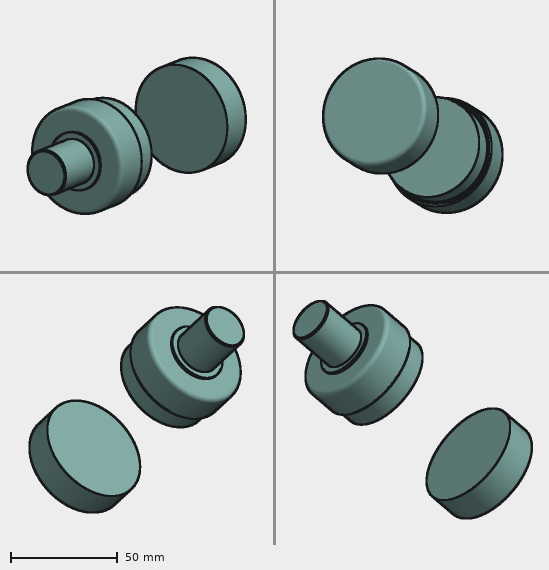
import cadquery as cq


outer_diameter = 52.0
outer_radius = outer_diameter / 2
rim_round = 2.2

cap_thickness = 17.0

rim_thickness = 16.5
spigot_radius = 24.0
ledge_radius = 24.8
ledge_height = 0.71
spigot_above_ledge = 10.5
spigot_length = ledge_height + spigot_above_ledge
collar_radius = 14.0
collar_height = 1.1
shaft_radius = 10.9
shaft_chamfer = 0.5

overall_length = 129.7
gap = 60.0
shaft_length = overall_length - cap_thickness - gap - spigot_length - rim_thickness - collar_height


def disc(radius, start, length):
    """Cylinder along Y that runs from start toward +Y, or toward -Y if length is negative."""
    return cq.Workplane("XZ", origin=(0, start, 0)).circle(radius).extrude(-length)


def make_hub():
    """Turned hub with a spigot, a low ledge, a rounded rim, a collar and a shaft."""
    rim = disc(outer_radius, 0, -rim_thickness).faces("<Y").edges().fillet(rim_round)
    ledge = disc(ledge_radius, 0, ledge_height)
    spigot = disc(spigot_radius, 0, spigot_length)
    collar = disc(collar_radius, -rim_thickness, -collar_height)
    shaft = disc(shaft_radius, -rim_thickness - collar_height, -shaft_length)
    shaft = shaft.faces("<Y").edges().chamfer(shaft_chamfer)
    return rim.union(ledge).union(spigot).union(collar).union(shaft)


def make_cap():
    """Plain disc facing the spigot across the gap, rounded on its outer edge."""
    cap = disc(outer_radius, spigot_length + gap, cap_thickness)
    return cap.faces(">Y").edges().fillet(rim_round)


hub = make_hub()
cap = make_cap()

result = cq.Compound.makeCompound([hub.val(), cap.val()])